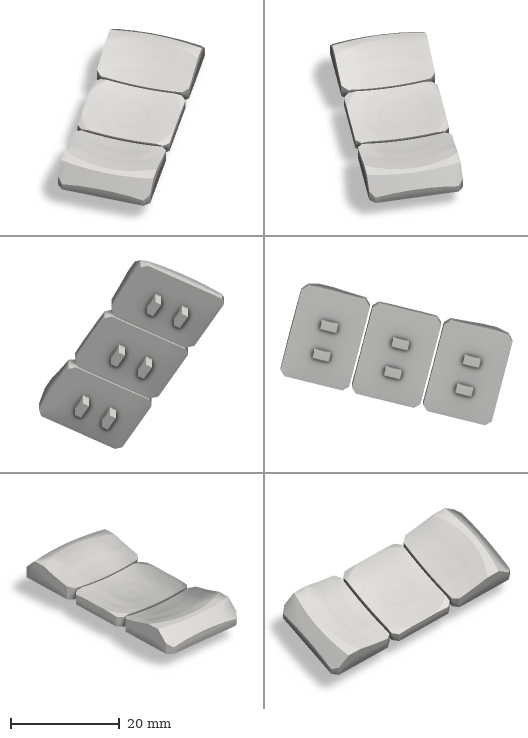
import cadquery as cq
import math

cap_length = 17.5
cap_width = 13.0
end_cap_height = 4.3
middle_cap_height = 2.3
row_length = 40.0
corner_chamfer = 1.0
pitch = (row_length - cap_width) / 2

leg_length = 1.25
leg_width = 3.05
leg_height = 2.5
leg_spacing = 5.65

dish_radius = 51.2
middle_rim_radius = 9.1
end_dish_offset = 1.1
end_rim_radius = 17.7

slope_angle = 44.5
slope_radius = 41.05
slope_setback = 2.25

corner_drop_slope = 0.16


def blank(height):
    """Plain cap with chamfered upright corners."""
    return (
        cq.Workplane("XY")
        .box(cap_length, cap_width, height, centered=(True, True, False))
        .edges("|Z")
        .chamfer(corner_chamfer)
    )


def dish(rim_radius, rim_height, center_y):
    """Ball that leaves a rim circle of the given radius at the given height."""
    center_z = rim_height + math.sqrt(dish_radius**2 - rim_radius**2)
    return cq.Workplane("XY").sphere(dish_radius).translate((0, center_y, center_z))


def cone_envelope(rim_radius, rim_height, rise_per_run, center_y):
    """Solid cone that falls away outside the rim circle and reaches below Z = 0."""
    apex_height = rim_height + rim_radius * rise_per_run
    base_radius = apex_height / rise_per_run
    cone = cq.Solid.makeCone(base_radius, 0, apex_height)
    return cq.Workplane("XY").add(cone).translate((0, center_y, 0))


def add_legs(cap):
    """Join the two rectangular legs to the underside of a cap."""
    legs = (
        cq.Workplane("XY")
        .pushPoints([(-leg_spacing / 2, 0), (leg_spacing / 2, 0)])
        .rect(leg_length, leg_width)
        .extrude(-leg_height)
    )
    return cap.union(legs)


def make_middle_cap():
    cap = blank(middle_cap_height)
    cap = cap.intersect(cone_envelope(middle_rim_radius, middle_cap_height, corner_drop_slope, 0))
    cap = cap.cut(dish(middle_rim_radius, middle_cap_height, 0))
    return add_legs(cap)


def make_end_cap():
    """End cap with its sloped outer side toward +Y."""
    slope_center = cap_width / 2 - slope_setback - slope_radius
    rise_per_run = math.tan(math.radians(slope_angle))
    cap = blank(end_cap_height)
    cap = cap.intersect(cone_envelope(slope_radius, end_cap_height, rise_per_run, slope_center))
    cap = cap.cut(dish(end_rim_radius, end_cap_height, -pitch - end_dish_offset))
    return add_legs(cap)


middle_cap = make_middle_cap()
end_caps = [
    make_end_cap().translate((0, pitch, 0)).rotate((0, 0, 0), (0, 0, 1), turn)
    for turn in (0, 180)
]

result = cq.Compound.makeCompound([middle_cap.val(), *[cap.val() for cap in end_caps]])